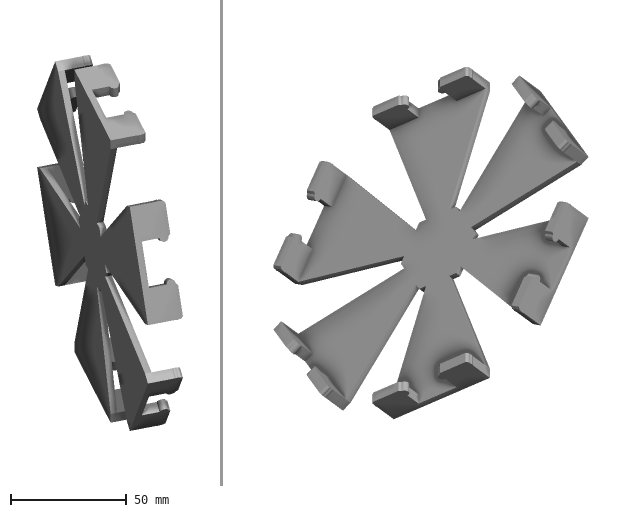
import cadquery as cq
BLADE_COUNT = 6
PITCH_ANGLE = 360 / BLADE_COUNT
WHEEL_HEIGHT = 154.14
TOTAL_DEPTH = 16.0
PLATE_THICKNESS = 3.0

HUB_DIAMETER = 40.0
HUB_APOTHEM = HUB_DIAMETER / 2 * 3 ** 0.5 / 2

BLADE_ROOT_WIDTH = 12.6
FLANGE_WIDTH = 52.2
FLANGE_THICKNESS = 4.8
FLANGE_OUTER = WHEEL_HEIGHT / 2
FLANGE_INNER = FLANGE_OUTER - FLANGE_THICKNESS

SLOT_WIDTH = 20.6
TIP_CHAMFER = 1.0
BEAD_RADIUS = 2.0
BEAD_Y = TOTAL_DEPTH - 3.0
OUTER_BEAD_HEIGHT = 0.2


def extrude_along_y(profile, depth):
    """Extrude an XZ profile from Y = 0 towards +Y."""
    return profile.extrude(-depth)


def make_hub():
    profile = cq.Workplane("XZ").polygon(BLADE_COUNT, HUB_DIAMETER)
    return extrude_along_y(profile, PLATE_THICKNESS)


def make_web():
    """Flat blade that widens from the hub edge to the flange."""
    half_root = BLADE_ROOT_WIDTH / 2
    half_tip = FLANGE_WIDTH / 2
    profile = (
        cq.Workplane("XZ")
        .moveTo(-half_root, HUB_APOTHEM)
        .lineTo(half_root, HUB_APOTHEM)
        .lineTo(half_tip, FLANGE_INNER)
        .lineTo(half_tip, FLANGE_OUTER)
        .lineTo(-half_tip, FLANGE_OUTER)
        .lineTo(-half_tip, FLANGE_INNER)
        .close()
    )
    return extrude_along_y(profile, PLATE_THICKNESS)


def make_arm(side):
    """One flange arm with a snap bead inside and a shallow bead outside; side is +1 or -1."""
    arm_width = (FLANGE_WIDTH - SLOT_WIDTH) / 2
    inner_x = side * SLOT_WIDTH / 2
    outer_x = side * FLANGE_WIDTH / 2
    outer_bead_x = outer_x - side * (BEAD_RADIUS - OUTER_BEAD_HEIGHT)

    section = cq.Workplane("XY", origin=(0, 0, FLANGE_INNER))
    beads = (
        section.pushPoints([(inner_x, BEAD_Y), (outer_bead_x, BEAD_Y)])
        .circle(BEAD_RADIUS)
        .extrude(FLANGE_THICKNESS)
    )
    return (
        section.center((inner_x + outer_x) / 2, TOTAL_DEPTH / 2)
        .rect(arm_width, TOTAL_DEPTH)
        .extrude(FLANGE_THICKNESS)
        .edges("|Z and >Y")
        .chamfer(TIP_CHAMFER)
        .union(beads)
    )


def make_blade(index):
    """Blade with its two-armed flange, turned about the Y axis to its place on the hub."""
    blade = make_web().union(make_arm(-1)).union(make_arm(1))
    return blade.rotate((0, 0, 0), (0, 1, 0), index * PITCH_ANGLE)


hub_with_blade = make_hub().union(make_blade(0), clean=False)
loose_blades = [make_blade(index) for index in range(1, BLADE_COUNT)]

result = cq.Compound.makeCompound(
    [hub_with_blade.val(), *[blade.val() for blade in loose_blades]]
)